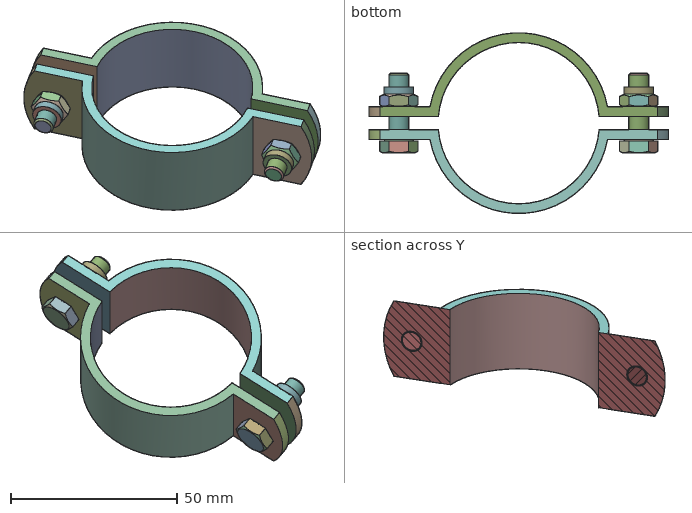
import cadquery as cq
import math

overall_length = 90.0
band_width = 25.0
ring_outer_diameter = 54.3
sheet_thickness = 3.0
split_gap = 4.0
ear_end_bulge = 3.3
bolt_spacing = 72.0
bolt_hole_diameter = 6.5

across_flats = 10.0
corner_chamfer_angle = 30.0
hex_chamfer_diameter = 9.5

bolt_diameter = 6.0
bolt_length = 20.0
bolt_tip_chamfer = 0.5
head_height = 4.05
washer_face_diameter = 8.7
washer_face_height = 0.4

nut_height = 5.9
nut_hex_height = 3.8
collar_diameter = 8.9

ring_outer_radius = ring_outer_diameter / 2
ring_inner_radius = ring_outer_radius - sheet_thickness
ear_inner_face = split_gap / 2
ear_outer_face = ear_inner_face + sheet_thickness
half_length = overall_length / 2
half_width = band_width / 2
across_corners = across_flats / math.cos(math.radians(30))


def cylinder_y(diameter, y_start, y_end):
    """Cylinder on the Y axis between two Y positions."""
    base = cq.Workplane("XZ", origin=(0, y_end, 0))
    return base.circle(diameter / 2).extrude(y_end - y_start)


def ear_outline_prism():
    """Straight top and bottom edges with bulged ends, long enough in Y for the whole ring."""
    straight_half = half_length - ear_end_bulge
    return (
        cq.Workplane("XZ")
        .moveTo(-straight_half, -half_width)
        .lineTo(straight_half, -half_width)
        .threePointArc((half_length, 0), (straight_half, half_width))
        .lineTo(-straight_half, half_width)
        .threePointArc((-half_length, 0), (-straight_half, -half_width))
        .close()
        .extrude(ring_outer_radius, both=True)
    )


def make_clamp_half(side):
    """Half ring with two drilled ears; side is +1 or -1 along Y."""
    ear_center = side * (ear_inner_face + ear_outer_face) / 2
    ears = cq.Workplane("XY").box(overall_length, sheet_thickness, band_width)
    ears = ears.translate((0, ear_center, 0)).intersect(ear_outline_prism())
    ring = cq.Workplane("XY").circle(ring_outer_radius).extrude(half_width, both=True)
    half_space = cq.Workplane("XY").box(overall_length, ring_outer_diameter, band_width)
    half_space = half_space.translate((0, side * (ear_inner_face + ring_outer_radius), 0))
    bore = cq.Workplane("XY").circle(ring_inner_radius).extrude(half_width, both=True)
    clamp = ring.intersect(half_space).union(ears).cut(bore)
    for bolt_x in bolt_positions:
        hole = cylinder_y(bolt_hole_diameter, -ring_outer_radius, ring_outer_radius)
        clamp = clamp.cut(hole.translate((bolt_x, 0, 0)))
    return clamp


def hexagon_y(y_start, y_end):
    """Hexagonal prism on the Y axis between two Y positions."""
    base = cq.Workplane("XZ", origin=(0, y_end, 0))
    return base.polygon(6, across_corners).extrude(y_end - y_start)


def turn_corners(hexagon, face_y, face_diameter, outward):
    """Cone off the corners at the end face_y, which faces outward (+1 or -1) along Y."""
    face_radius = face_diameter / 2
    cone_radius = across_corners
    cone_depth = (cone_radius - face_radius) * math.tan(math.radians(corner_chamfer_angle))
    cone_base = face_y - outward * cone_depth
    far_end = face_y - outward * 2 * nut_height
    turned_blank = (
        cq.Workplane("XY")
        .moveTo(0, face_y)
        .lineTo(face_radius, face_y)
        .lineTo(cone_radius, cone_base)
        .lineTo(cone_radius, far_end)
        .lineTo(0, far_end)
        .close()
        .revolve(360, (0, 0, 0), (0, 1, 0))
    )
    return hexagon.intersect(turned_blank)


def make_bolt():
    """Hexagon bolt pointing along -Y, with its washer face on the rear ear."""
    head_start = ear_outer_face + washer_face_height
    head_end = ear_outer_face + head_height
    head = turn_corners(hexagon_y(head_start, head_end), head_end, hex_chamfer_diameter, 1)
    washer_face = cylinder_y(washer_face_diameter, ear_outer_face, head_start)
    shank = cylinder_y(bolt_diameter, ear_outer_face - bolt_length, ear_outer_face)
    shank = shank.faces("<Y").chamfer(bolt_tip_chamfer)
    return head.union(washer_face).union(shank)


def make_nut():
    """Hexagon nut against the front ear, with its collar facing -Y."""
    seat = -ear_outer_face
    collar_start = seat - nut_hex_height
    nut_end = seat - nut_height
    hexagon = turn_corners(hexagon_y(collar_start, seat), seat, hex_chamfer_diameter, 1)
    hexagon = turn_corners(hexagon, collar_start, collar_diameter, -1)
    collar = cylinder_y(collar_diameter, nut_end, collar_start)
    bore = cylinder_y(bolt_diameter, nut_end, seat)
    return hexagon.union(collar).cut(bore)


bolt_positions = [-bolt_spacing / 2, bolt_spacing / 2]
clamp_halves = [make_clamp_half(side) for side in (1, -1)]
bolts = [make_bolt().translate((bolt_x, 0, 0)) for bolt_x in bolt_positions]
nuts = [make_nut().translate((bolt_x, 0, 0)) for bolt_x in bolt_positions]

result = cq.Compound.makeCompound([body.val() for body in clamp_halves + bolts + nuts])